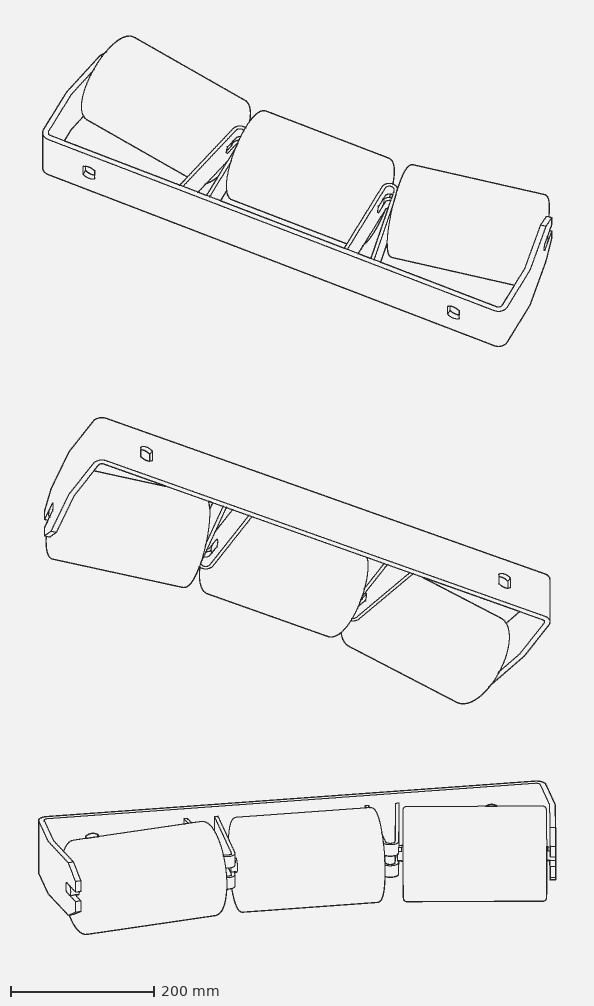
import cadquery as cq
import math

drum_diameter = 133.0
drum_length = 200.0
drum_edge_radius = 5.0
shaft_diameter = 20.0
shaft_flats = 14.5
shoulder_length = 2.0

middle_y = 125.0
side_x = 235.0
side_y = 147.0
tilt_degrees = 9.9
tilt = math.radians(tilt_degrees)

frame_length = 720
frame_height = 80.0
frame_thickness = 8.0
bend_radius = 14.0
arm_gap = 5.0
arm_tip_y = 195.0
arm_taper_length = 29.5
arm_taper_depth = 16.5
bolt_hole_x = 283.0
bolt_hole_diameter = 25.0
bolt_hole_flats = 18.0
arm_face = drum_length / 2 + arm_gap

bracket_thickness = 5.0
bracket_height = 50.0
bracket_top_y = 150.5
lean_degrees = 9.2
lean = math.radians(lean_degrees)
upright_gap = 4.0
leaning_gap = 3.0
upright_face = drum_length / 2 + upright_gap
leaning_face = drum_length / 2 + leaning_gap


def slanted_x(distance, angle, y):
    """X at a given y on a line slanted from Y.

    The line crosses the right roller's axis at a distance from the roller centre.
    """
    cross_x = side_x + distance * math.cos(tilt)
    cross_y = side_y + distance * math.sin(tilt)
    return cross_x - (y - cross_y) * math.tan(angle)


def tilted(body):
    """Move a body from the origin to the place and tilt of the right roller."""
    return body.rotate((0, 0, 0), (0, 0, 1), tilt_degrees).translate((side_x, side_y, 0))


def mirrored(body):
    """Copy of a body on the other side of X = 0."""
    return body.mirror("YZ")


def rod(diameter, length):
    """Cylinder along X, centred on the origin."""
    return cq.Workplane("YZ").workplane(offset=-length / 2).circle(diameter / 2).extrude(length)


def flatted_rod(diameter, flats, length):
    """Cylinder along X with two flats facing up and down, centred on the origin."""
    return rod(diameter, length).intersect(cq.Workplane("XY").box(length, diameter, flats))


def make_roller(left_reach, right_reach):
    """Roller along X, centred on the origin, its shaft reaching a given distance each way."""
    drum = rod(drum_diameter, drum_length).edges().fillet(drum_edge_radius)
    shoulders = rod(shaft_diameter, drum_length + 2 * shoulder_length)
    shaft = flatted_rod(shaft_diameter, shaft_flats, left_reach + right_reach)
    shaft = shaft.translate(((right_reach - left_reach) / 2, 0, 0))
    return drum.union(shoulders).union(shaft)


def shaft_slot(x, width):
    """Cutter for a slot open toward +Y, with the shaft's own round at its closed end."""
    slot_length = drum_diameter
    end = flatted_rod(shaft_diameter, shaft_flats, width)
    run = cq.Workplane("XY").box(width, slot_length, shaft_flats).translate((0, slot_length / 2, 0))
    return end.union(run).translate((x, 0, 0))


def make_bent_strip():
    """Frame strip with its back corners and arm bends, before any cuts."""
    half = frame_length / 2
    inner_x = half - frame_thickness
    inner_bend_y = side_y + (side_x + arm_face / math.cos(tilt) - inner_x) / math.tan(tilt)
    outer_bend_y = inner_bend_y + frame_thickness * math.tan(tilt / 2)
    tip_x = slanted_x(arm_face + frame_thickness, tilt, arm_tip_y)
    inner_tip_x = tip_x - frame_thickness * math.cos(tilt)
    inner_tip_y = arm_tip_y - frame_thickness * math.sin(tilt)
    right_side = [
        (half, 0), (half, outer_bend_y), (tip_x, arm_tip_y),
        (inner_tip_x, inner_tip_y), (inner_x, inner_bend_y), (inner_x, frame_thickness),
    ]
    left_side = [(-x, y) for x, y in reversed(right_side)]
    frame = cq.Workplane("XY").polyline(right_side + left_side).close()
    frame = frame.extrude(frame_height / 2, both=True)

    inner_radius = bend_radius - frame_thickness
    bends = [
        (half, 0, bend_radius), (inner_x, frame_thickness, inner_radius),
        (half, outer_bend_y, bend_radius), (inner_x, inner_bend_y, inner_radius),
    ]
    for x, y, radius in bends:
        for bend_x in (-x, x):
            bend = cq.selectors.NearestToPointSelector((bend_x, y, 0))
            frame = frame.edges("|Z").edges(bend).fillet(radius)
    return frame


def make_arm_cutters():
    """Cutters for the right arm: its shaft slot and the two tapers of its end."""
    tip_along = (arm_tip_y - side_y - (arm_face + frame_thickness) * math.sin(tilt)) / math.cos(tilt)
    taper_start = tip_along - arm_taper_length
    half_height = frame_height / 2
    arm_x = arm_face + frame_thickness / 2
    cutters = tilted(shaft_slot(arm_x, 2 * frame_thickness))
    for side in (-1, 1):
        taper = cq.Workplane("YZ").polyline([
            (taper_start, side * half_height),
            (tip_along, side * (half_height - arm_taper_depth)),
            (tip_along, side * half_height),
        ]).close().extrude(frame_thickness, both=True).translate((arm_x, 0, 0))
        cutters = cutters.union(tilted(taper))
    return cutters


def make_frame():
    arm_cutters = make_arm_cutters()
    frame = make_bent_strip().cut(arm_cutters).cut(mirrored(arm_cutters))
    bolt_hole = flatted_rod(bolt_hole_diameter, bolt_hole_flats, 3 * frame_thickness)
    bolt_hole = bolt_hole.rotate((0, 0, 0), (1, 0, 0), 90).rotate((0, 0, 0), (0, 0, 1), 90)
    for x in (-bolt_hole_x, bolt_hole_x):
        hole = bolt_hole.translate((x, 0, 0))
        frame = frame.cut(hole)
    return frame


def make_bracket():
    """Right hairpin bracket: an upright leg at the middle roller and a leaning leg at the side roller."""
    room = (slanted_x(-leaning_face, lean, bracket_top_y) - upright_face) * math.cos(lean)
    crown_radius = room / (1 + math.cos(lean) + math.sin(lean))
    crown_x = upright_face + crown_radius
    crown_y = bracket_top_y - crown_radius
    inner_radius = crown_radius - bracket_thickness
    foot_y = frame_thickness
    foot_x = slanted_x(-leaning_face, lean, foot_y)

    def crown_point(radius, degrees):
        angle = math.radians(degrees)
        return (crown_x + radius * math.cos(angle), crown_y + radius * math.sin(angle))

    profile = (
        cq.Workplane("XY")
        .moveTo(upright_face, foot_y)
        .lineTo(upright_face, crown_y)
        .threePointArc(crown_point(crown_radius, 90), crown_point(crown_radius, lean_degrees))
        .lineTo(foot_x, foot_y)
        .lineTo(foot_x - bracket_thickness / math.cos(lean), foot_y)
        .lineTo(*crown_point(inner_radius, lean_degrees))
        .threePointArc(crown_point(inner_radius, 90), crown_point(inner_radius, 180))
        .lineTo(upright_face + bracket_thickness, foot_y)
        .close()
    )
    bracket = profile.extrude(bracket_height / 2, both=True)
    width = 3 * crown_radius
    upright_slot = shaft_slot(upright_face, width).translate((0, middle_y, 0))
    leaning_slot = tilted(shaft_slot(-leaning_face, width))
    return bracket.cut(upright_slot).cut(leaning_slot)


frame = make_frame()
bracket = make_bracket()
upright_reach = upright_face + bracket_thickness
leaning_reach = leaning_face + bracket_thickness
arm_reach = arm_face + frame_thickness
middle_roller = make_roller(upright_reach, upright_reach).translate((0, middle_y, 0))
side_roller = tilted(make_roller(leaning_reach, arm_reach))

brackets = [bracket, mirrored(bracket)]
rollers = [middle_roller, side_roller, mirrored(side_roller)]
result = cq.Compound.makeCompound([body.val() for body in [frame] + brackets + rollers])